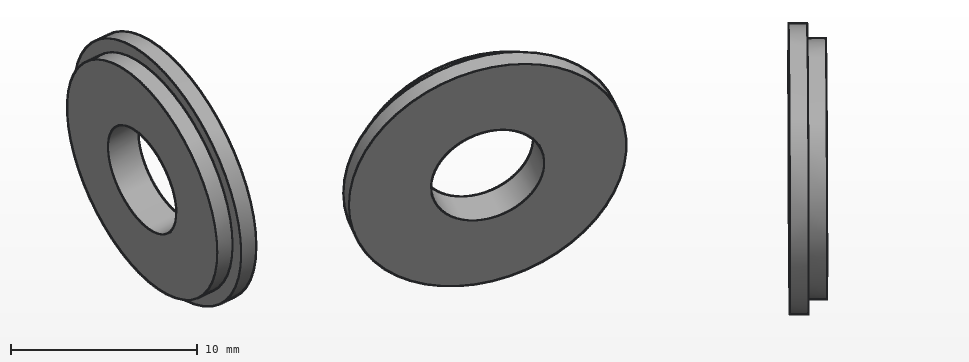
import cadquery as cq

flange_diameter = 15.6
step_diameter = 14.0
bore_diameter = 6.35
total_thickness = 2.0
flange_thickness = total_thickness / 2
step_thickness = total_thickness - flange_thickness

step = cq.Workplane("XZ").circle(step_diameter / 2).extrude(step_thickness)
flange = cq.Workplane("XZ").circle(flange_diameter / 2).extrude(-flange_thickness)

bore = (
    cq.Workplane("XZ", origin=(0, flange_thickness, 0))
    .circle(bore_diameter / 2)
    .extrude(total_thickness)
)

result = flange.union(step).cut(bore)